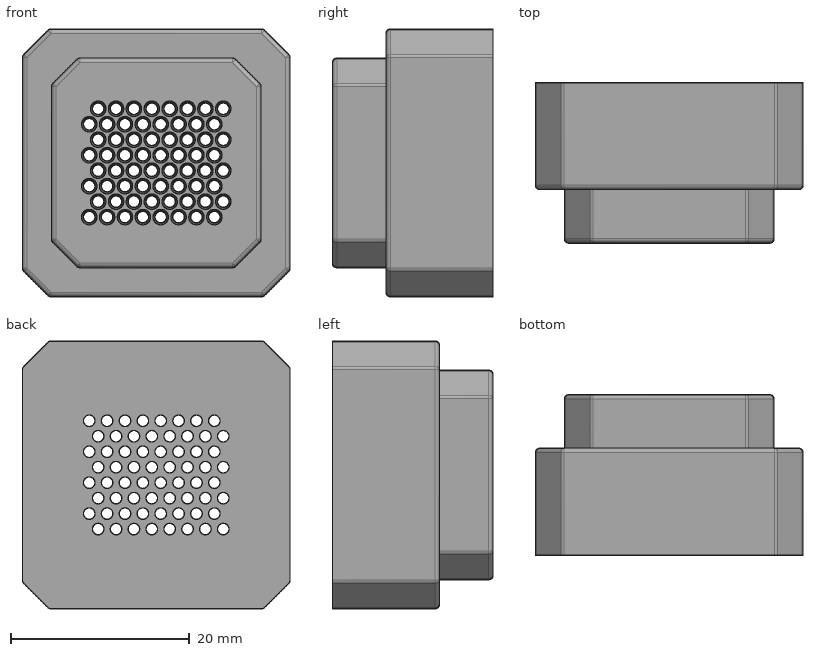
import cadquery as cq
import math

body_width = 30.0
body_depth = 12.0
boss_width = 23.5
boss_depth = 6.0
corner_cut = 3.0
edge_radius = 0.5

holes_per_row = 8
row_count = 8
row_length = 14.0
mouth_diameter = 1.75
exit_diameter = 1.25

total_depth = body_depth + boss_depth
hole_pitch = row_length / (holes_per_row - 1)
row_pitch = hole_pitch * math.sqrt(3) / 2
row_shift = hole_pitch / 4


def rounded_block(width, front_y, depth):
    """Square block with cut corners, reaching back from front_y, front rim rounded."""
    return (
        cq.Workplane("XZ", origin=(0, front_y + depth, 0))
        .rect(width, width)
        .extrude(depth)
        .edges("|Y")
        .chamfer(corner_cut)
        .edges("|Y")
        .fillet(edge_radius)
        .faces("<Y")
        .edges()
        .fillet(edge_radius)
    )


def hole_centers():
    """Centers of the perforation in X and Z, with even rows moved left."""
    centers = []
    for row in range(row_count):
        z = (row - (row_count - 1) / 2) * row_pitch
        shift = -row_shift if row % 2 == 0 else row_shift
        for column in range(holes_per_row):
            x = (column - (holes_per_row - 1) / 2) * hole_pitch + shift
            centers.append((x, z))
    return centers


def tapered_hole(x, z):
    """Cone frustum running the full depth, narrowing towards the back."""
    return cq.Solid.makeCone(
        mouth_diameter / 2,
        exit_diameter / 2,
        total_depth,
        pnt=cq.Vector(x, -boss_depth, z),
        dir=cq.Vector(0, 1, 0),
    )


body = rounded_block(body_width, 0, body_depth)
boss = rounded_block(boss_width, -boss_depth, boss_depth)
holes = cq.Compound.makeCompound([tapered_hole(x, z) for x, z in hole_centers()])

result = body.union(boss).cut(cq.Workplane(obj=holes))